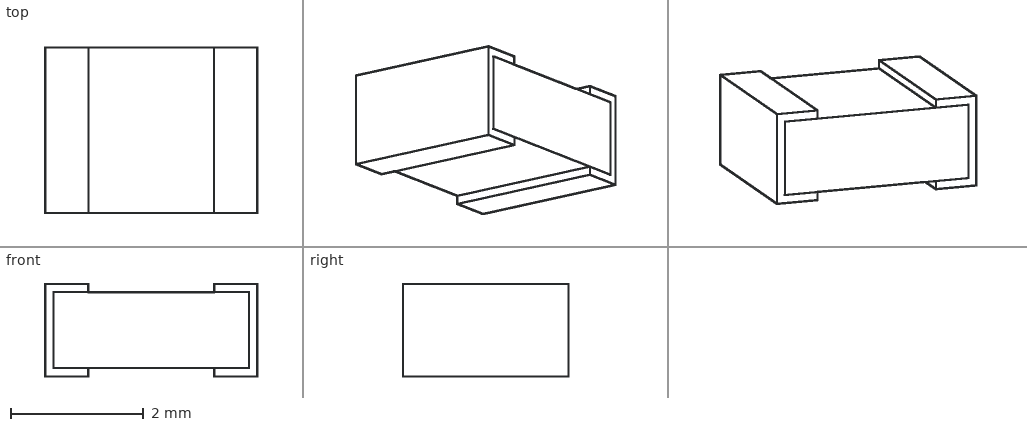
import cadquery as cq

length = 3.2
width = 2.5
height = 1.4

plating = 0.128
terminal_length = 0.65

body_length = length - 2 * plating
body_height = height - 2 * plating


def make_body():
    """Plain ceramic block, held one plating thickness above Z = 0."""
    block = cq.Workplane("XY").box(body_length, width, body_height)
    return block.translate((0, 0, height / 2))


def make_terminal(side):
    """C-shaped cap wrapping one end of the body; side is -1 or +1 along X."""
    center_x = side * (length - terminal_length) / 2
    cap = cq.Workplane("XY").box(terminal_length, width, height)
    cap = cap.translate((center_x, 0, height / 2))
    return cap.cut(make_body()).solids()


body = make_body()
terminals = [make_terminal(side) for side in (-1, 1)]

result = cq.Compound.makeCompound(
    [body.val()] + [terminal.val() for terminal in terminals]
)